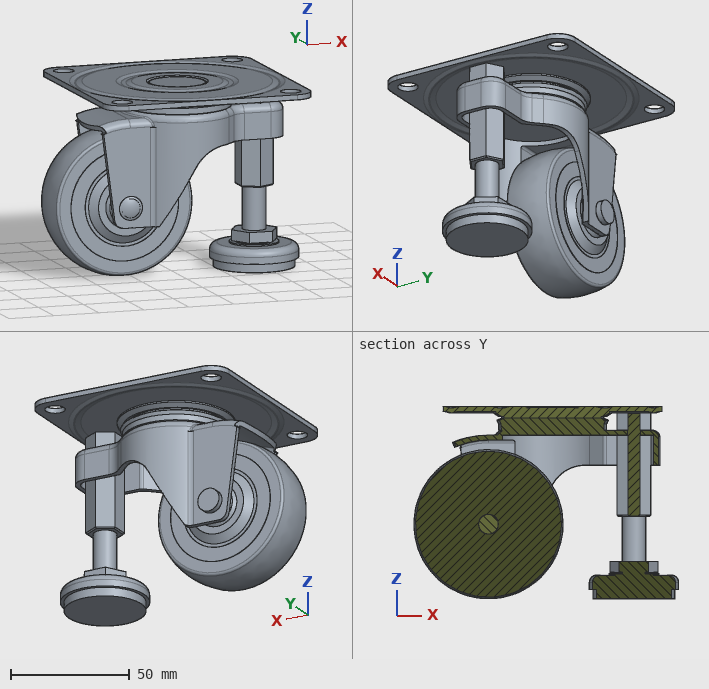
import cadquery as cq
import math


PLATE_SIDE = 92.0
PLATE_CORNER_R = 8.6
PLATE_T = 2.2
BOLT_PITCH = 74.9
BOLT_HOLE_D = 8.6
BEAD_DEPTH = 0.7
BEAD_RADII = (40.1, 42.8, 43.2, 45.3)
RACE_RADII = (19.3, 21.6, 23.6, 25.7)
PIVOT_R = 11.9
PIVOT_GROOVE_R = 12.4
PIVOT_RIM_R = 13.0
PIVOT_SINK = 0.3
PIVOT_GROOVE_DEPTH = 0.7
PLATE_CONE_R = 24.9
PLATE_CONE_END_R = 22.6
PLATE_CONE_END_Z = -4.3
NECK_R = 21.6
NECK_END_Z = -5.0

SHEET = 2.2
HEAD_TOP_Z = -10.0
HEAD_R = 24.2
BEND_R = 3.3
JOINT_R = 1.1
CUP_R = 22.7
CUP_LIP_R = 23.5
CUP_LIP_Z = -5.9
CUP_LIP_END_Z = -7.5
ARM_BOTTOM_Z = -24.8
ARM_END_X = 45.2
ARM_HALF_W = 11.5
ARM_CORNER_R = 7.5
ARM_NECK_R = 7.6
ARM_INNER_NECK_R = 2.2
ARM_UNDER_R = 15.6
ARM_UNDER_X = 4.7
LEG_OUTER_Y = 17.5
LEG_BOTTOM_Z = -58.1
LEG_REAR_X = -15.6
LEG_TIP_X = -14.7
LEG_FRONT_TOP = (-38.7, -17.6)
LEG_FRONT_BOTTOM_X = -33.4
LEG_TOE_R = 3.9
VISOR_R = 37.5
VISOR_TIP_X = -42.1
VISOR_BOW = 3.5

AXLE_X = -27.0
AXLE_Z = -49.5
AXLE_R = 4.0
AXLE_HEAD_R = 5.1
AXLE_HEAD_Y = 18.3
DOME_H = 1.5
BUTTON_H = 2.6
WHEEL_R = 31.4
TREAD_EDGE_R = 30.2
TREAD_HALF_W = 9.6
WHEEL_FACE_R = 29.0
WHEEL_HALF_W = 10.5
RECESS_RADII = (17.6, 23.9)
RECESS_DEPTH = 0.2
HUB_CONE_R = 16.1
HUB_STEP_R = 12.7
HUB_STEP_Y = 13.3
HUB_BOSS_R = 9.5
HUB_END_R = 8.1
HUB_END_Y = 14.7

FOOT_X = 34.2
SLEEVE_FLATS = 14.3
SLEEVE_BOTTOM_Z = -46.3
SLEEVE_CHAMFER = 0.6
ROD_R = 5.0
ROD_ENGAGEMENT = 22.3
ROD_TOP_Z = SLEEVE_BOTTOM_Z + ROD_ENGAGEMENT
NUT_CORNERS = 20.3
NUT_TOP_Z = -65.1
NUT_BOTTOM_Z = -69.8
SHOULDER_R = 8.2
COLLAR_R = 10.5
COLLAR_TOP_Z = -70.4
PAD_R = 18.8
PAD_TOP_Z = -70.9
PAD_EDGE_R = 3.1
PAD_STEP_Z = -77.0
PAD_BASE_R = 17.3
GROUND_Z = AXLE_Z - WHEEL_R


def cylinder_z(radius, z_low, z_high, x=0.0):
    return cq.Workplane("XY", origin=(x, 0, z_low)).circle(radius).extrude(z_high - z_low)


def cylinder_y(radius, y_low, y_high):
    """Cylinder on the wheel axle line, from y_low to y_high."""
    plane = cq.Workplane("XZ", origin=(AXLE_X, y_low, AXLE_Z))
    return plane.circle(radius).extrude(y_low - y_high)


def revolve_z(points):
    """Revolve (radius, Z) points about the swivel axis."""
    return cq.Workplane("XZ").polyline(points).close().revolve(360, (0, 0), (0, 1))


def side_prism(sketch, half_width):
    """Extrude an XZ sketch to equal lengths either side of Y = 0."""
    return sketch.extrude(half_width, both=True)


def pressed_ring(radii, z):
    """Flat-bottomed ring, with sloping sides, that goes down from height z."""
    inner_top, inner_floor, outer_floor, outer_top = radii
    floor_z = z - BEAD_DEPTH
    return revolve_z([(inner_top, z), (inner_floor, floor_z), (outer_floor, floor_z), (outer_top, z)])


def make_plate():
    plate = cq.Workplane("XY").rect(PLATE_SIDE, PLATE_SIDE).extrude(-PLATE_T)
    plate = plate.edges("|Z").fillet(PLATE_CORNER_R)
    plate = plate.faces(">Z").workplane().rect(BOLT_PITCH, BOLT_PITCH, forConstruction=True)
    plate = plate.vertices().hole(BOLT_HOLE_D)
    plate = plate.union(pressed_ring(BEAD_RADII, -PLATE_T))

    seat = revolve_z([
        (0, -PLATE_T),
        (PLATE_CONE_R, -PLATE_T),
        (PLATE_CONE_R, -PLATE_T - BEAD_DEPTH),
        (PLATE_CONE_END_R, PLATE_CONE_END_Z),
        (NECK_R, PLATE_CONE_END_Z),
        (NECK_R, NECK_END_Z),
        (0, NECK_END_Z),
    ])
    plate = plate.union(seat)

    plate = plate.cut(pressed_ring(BEAD_RADII, 0)).cut(pressed_ring(RACE_RADII, 0))
    pivot_sink = revolve_z([
        (0, 0),
        (PIVOT_RIM_R, 0),
        (PIVOT_GROOVE_R, -PIVOT_GROOVE_DEPTH),
        (PIVOT_R, -PIVOT_GROOVE_DEPTH),
        (PIVOT_R, -PIVOT_SINK),
        (0, -PIVOT_SINK),
    ])
    return plate.cut(pivot_sink)


def head_block(inset, neck_r, top_z):
    """Round head and rear arm, with every side moved in by inset."""
    radius = HEAD_R - inset
    half_w = ARM_HALF_W - inset
    end_x = ARM_END_X - inset
    corner_r = ARM_CORNER_R - inset
    diagonal = math.sqrt(0.5)
    tangent = radius * diagonal
    neck_x = radius / diagonal - half_w + neck_r * math.tan(math.radians(22.5))
    blend_x = neck_x - neck_r * diagonal
    blend_y = half_w + neck_r * (1 - diagonal)
    blend_mid = math.radians(22.5)
    mid_x = neck_x - neck_r * math.sin(blend_mid)
    mid_y = half_w + neck_r * (1 - math.cos(blend_mid))
    corner_mid = corner_r * (1 - diagonal)
    outline = (
        cq.Workplane("XY", origin=(0, 0, LEG_BOTTOM_Z))
        .moveTo(tangent, tangent)
        .threePointArc((-radius, 0), (tangent, -tangent))
        .lineTo(blend_x, -blend_y)
        .threePointArc((mid_x, -mid_y), (neck_x, -half_w))
        .lineTo(end_x - corner_r, -half_w)
        .threePointArc((end_x - corner_mid, -half_w + corner_mid), (end_x, -half_w + corner_r))
        .lineTo(end_x, half_w - corner_r)
        .threePointArc((end_x - corner_mid, half_w - corner_mid), (end_x - corner_r, half_w))
        .lineTo(neck_x, half_w)
        .threePointArc((mid_x, mid_y), (blend_x, blend_y))
        .close()
    )
    return outline.extrude(top_z - LEG_BOTTOM_Z)


def front_block(inset):
    """Front of the fork, whose top follows the wheel, with its sides and top moved in by inset."""
    radius = VISOR_R - inset
    rear_x = LEG_REAR_X + inset
    front_x = VISOR_TIP_X - SHEET
    reach = front_x - AXLE_X
    front_z = AXLE_Z + math.sqrt(radius**2 - reach**2)
    mid_reach = reach / 2
    mid_z = AXLE_Z + math.sqrt(radius**2 - mid_reach**2)
    outline = (
        cq.Workplane("XZ")
        .moveTo(rear_x, LEG_BOTTOM_Z)
        .lineTo(rear_x, AXLE_Z + radius)
        .lineTo(AXLE_X, AXLE_Z + radius)
        .threePointArc((AXLE_X + mid_reach, mid_z), (front_x, front_z))
        .lineTo(front_x, LEG_BOTTOM_Z)
        .close()
    )
    block = side_prism(outline, LEG_OUTER_Y - inset)
    shoulders = block.faces("<Y or >Y").edges("(not |Z) and (not <Z)")
    return shoulders.fillet(BEND_R - inset)


def leg_bends():
    """Concave blends between the flat legs and the round head."""
    centre_y = LEG_OUTER_Y + BEND_R
    centre_x = -math.sqrt((HEAD_R + BEND_R) ** 2 - centre_y**2)
    start = math.radians(-90)
    end = math.atan2(-centre_y, -centre_x)
    middle = (start + end) / 2
    arc = [(centre_x + BEND_R * math.cos(a), centre_y + BEND_R * math.sin(a)) for a in (start, middle, end)]
    inner_y = LEG_OUTER_Y - SHEET
    bend = (
        cq.Workplane("XY", origin=(0, 0, LEG_BOTTOM_Z))
        .moveTo(*arc[0])
        .threePointArc(arc[1], arc[2])
        .lineTo(arc[2][0], inner_y)
        .lineTo(arc[0][0], inner_y)
        .close()
        .extrude(HEAD_TOP_Z - BEND_R - SHEET - LEG_BOTTOM_Z)
    )
    return bend.union(bend.mirror("XZ"))


def fork_side_envelope():
    """Side outline of the fork: visor, leg, sloping rear edge and arm."""
    visor_bottom_z = LEG_FRONT_TOP[1]
    outline = (
        cq.Workplane("XZ")
        .moveTo(VISOR_TIP_X - SHEET, 0)
        .lineTo(VISOR_TIP_X - SHEET, visor_bottom_z)
        .lineTo(*LEG_FRONT_TOP)
        .lineTo(LEG_FRONT_BOTTOM_X, LEG_BOTTOM_Z)
        .lineTo(LEG_TIP_X, LEG_BOTTOM_Z)
        .lineTo(ARM_UNDER_X, ARM_BOTTOM_Z)
        .lineTo(ARM_END_X, ARM_BOTTOM_Z)
        .lineTo(ARM_END_X, 0)
        .close()
    )
    envelope = side_prism(outline, 2 * HEAD_R)
    toe = cq.selectors.NearestToPointSelector((LEG_FRONT_BOTTOM_X, 0, LEG_BOTTOM_Z))
    under_arm = cq.selectors.NearestToPointSelector((ARM_UNDER_X, 0, ARM_BOTTOM_Z))
    envelope = envelope.edges("|Y").edges(toe).fillet(LEG_TOE_R)
    return envelope.edges("|Y").edges(under_arm).fillet(ARM_UNDER_R)


def visor_trim():
    """Material ahead of the bowed front edge of the visor, cut square to the sheet."""
    reach = VISOR_TIP_X - AXLE_X
    rise = math.sqrt(VISOR_R**2 - reach**2)
    outward = cq.Vector(reach / VISOR_R, 0, rise / VISOR_R)
    tip = cq.Vector(VISOR_TIP_X, 0, AXLE_Z + rise)
    start = tip + outward * SHEET
    plane = cq.Plane(origin=start.toTuple(), xDir=(0, 1, 0), normal=(outward * -1).toTuple())
    side_y = LEG_OUTER_Y
    return (
        cq.Workplane(plane)
        .moveTo(-side_y, VISOR_BOW)
        .threePointArc((0, 0), (side_y, VISOR_BOW))
        .lineTo(side_y, -2 * SHEET)
        .lineTo(-side_y, -2 * SHEET)
        .close()
        .extrude(SHEET + BEND_R)
    )


def sleeve_prism(z_low, z_high):
    """Hexagon with two flats facing along X."""
    corners = SLEEVE_FLATS / math.cos(math.radians(30))
    hexagon = cq.Workplane("XY").polygon(6, corners).extrude(z_high - z_low)
    return hexagon.rotate((0, 0, 0), (0, 0, 1), 30).translate((FOOT_X, 0, z_low))


def make_fork():
    outer = head_block(0, ARM_NECK_R, HEAD_TOP_Z).faces(">Z").edges().fillet(BEND_R)
    outer = outer.union(front_block(0))
    joint_point = (-HEAD_R, 0, AXLE_Z + VISOR_R)
    outer = outer.edges("%CIRCLE").edges(cq.selectors.NearestToPointSelector(joint_point)).fillet(JOINT_R)
    outer = outer.union(leg_bends())

    inner = head_block(SHEET, ARM_INNER_NECK_R, HEAD_TOP_Z - SHEET).union(front_block(SHEET))
    fork = outer.cut(inner).intersect(fork_side_envelope()).cut(visor_trim())

    cup = revolve_z([
        (0, HEAD_TOP_Z - SHEET),
        (CUP_R - BEND_R, HEAD_TOP_Z - SHEET),
        (CUP_R, HEAD_TOP_Z),
        (CUP_R, CUP_LIP_END_Z),
        (CUP_LIP_R, CUP_LIP_Z),
        (NECK_R, NECK_END_Z),
        (0, NECK_END_Z),
    ])
    fork = fork.union(cup)
    fork = fork.cut(cylinder_y(AXLE_R, -LEG_OUTER_Y, LEG_OUTER_Y))
    return fork.cut(sleeve_prism(SLEEVE_BOTTOM_Z, -PLATE_T))


def make_wheel():
    recess_y = WHEEL_HALF_W - RECESS_DEPTH
    half = [
        (AXLE_R, HUB_END_Y),
        (HUB_END_R, HUB_END_Y),
        (HUB_BOSS_R, HUB_STEP_Y),
        (HUB_STEP_R, HUB_STEP_Y),
        (HUB_CONE_R, WHEEL_HALF_W),
        (RECESS_RADII[0], WHEEL_HALF_W),
        (RECESS_RADII[0], recess_y),
        (RECESS_RADII[1], recess_y),
        (RECESS_RADII[1], WHEEL_HALF_W),
        (WHEEL_FACE_R, WHEEL_HALF_W),
    ]
    mirrored = [(r, -y) for r, y in reversed(half)]
    shoulder_r = WHEEL_FACE_R + (TREAD_EDGE_R - WHEEL_FACE_R) * math.sqrt(0.5)
    shoulder_y = TREAD_HALF_W + (WHEEL_HALF_W - TREAD_HALF_W) * math.sqrt(0.5)
    profile = (
        cq.Workplane("XY")
        .polyline(half)
        .threePointArc((shoulder_r, shoulder_y), (TREAD_EDGE_R, TREAD_HALF_W))
        .threePointArc((WHEEL_R, 0), (TREAD_EDGE_R, -TREAD_HALF_W))
        .threePointArc((shoulder_r, -shoulder_y), mirrored[0])
        .polyline(mirrored[1:], includeCurrent=True)
        .close()
    )
    wheel = profile.revolve(360, (0, 0), (0, 1))
    return wheel.translate((AXLE_X, 0, AXLE_Z))


def make_axle():
    shank = cylinder_y(AXLE_R, -AXLE_HEAD_Y, AXLE_HEAD_Y)
    button = cylinder_y(AXLE_HEAD_R, AXLE_HEAD_Y, AXLE_HEAD_Y + BUTTON_H)
    dome_r = (AXLE_HEAD_R**2 + DOME_H**2) / (2 * DOME_H)
    dome_tip_y = -AXLE_HEAD_Y - DOME_H
    ball = cq.Workplane("XY").sphere(dome_r).translate((AXLE_X, dome_tip_y + dome_r, AXLE_Z))
    dome = ball.intersect(cylinder_y(AXLE_HEAD_R, dome_tip_y, -AXLE_HEAD_Y))
    return shank.union(button).union(dome)


def make_sleeve():
    sleeve = sleeve_prism(SLEEVE_BOTTOM_Z, -PLATE_T - BEAD_DEPTH)
    sleeve = sleeve.faces("<Z").chamfer(SLEEVE_CHAMFER)
    return sleeve.cut(cylinder_z(ROD_R, SLEEVE_BOTTOM_Z, ROD_TOP_Z, FOOT_X))


def make_foot():
    pad = cylinder_z(PAD_R, PAD_STEP_Z, PAD_TOP_Z, FOOT_X).faces(">Z").edges().fillet(PAD_EDGE_R)
    base = cylinder_z(PAD_BASE_R, GROUND_Z, PAD_STEP_Z, FOOT_X)
    collar = cylinder_z(COLLAR_R, PAD_TOP_Z, COLLAR_TOP_Z, FOOT_X)
    shoulder = cylinder_z(SHOULDER_R, COLLAR_TOP_Z, NUT_BOTTOM_Z, FOOT_X)
    nut_plane = cq.Workplane("XY", origin=(FOOT_X, 0, NUT_BOTTOM_Z))
    nut = nut_plane.polygon(6, NUT_CORNERS).extrude(NUT_TOP_Z - NUT_BOTTOM_Z)
    rod = cylinder_z(ROD_R, NUT_TOP_Z, ROD_TOP_Z, FOOT_X)
    return base.union(pad).union(collar).union(shoulder).union(nut).union(rod)


plate = make_plate()
fork = make_fork()
wheel = make_wheel()
axle = make_axle()
sleeve = make_sleeve()
foot = make_foot()

result = cq.Compound.makeCompound([
    plate.solids().val(),
    fork.solids().val(),
    wheel.solids().val(),
    axle.solids().val(),
    sleeve.solids().val(),
    foot.solids().val(),
])